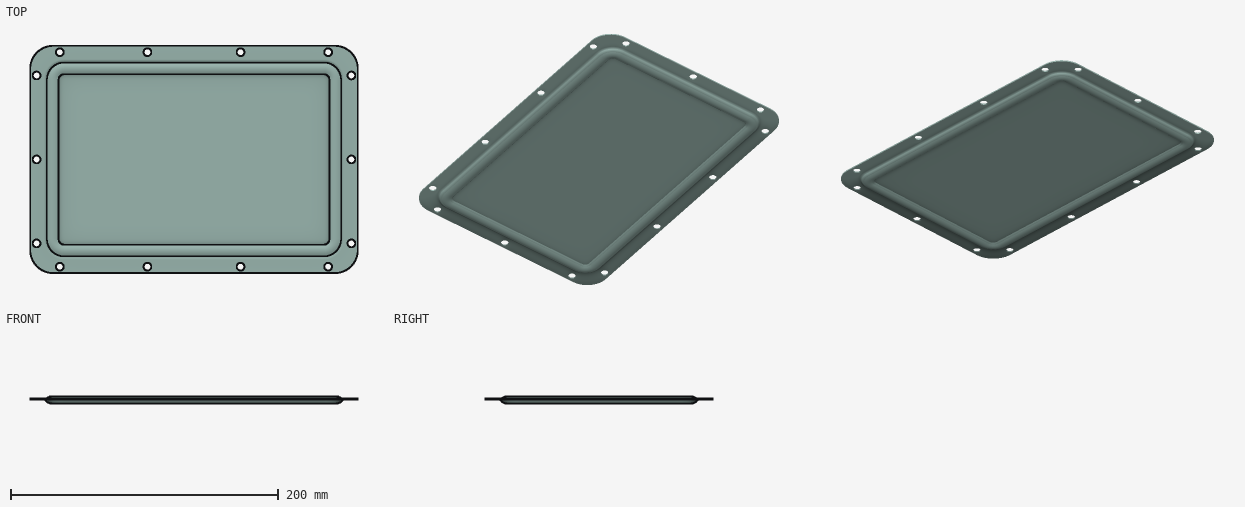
import cadquery as cq
import math

LENGTH = 245.0
WIDTH = 170.0
FLANGE_CORNER_RADIUS = 17.5
SHEET = 1.0
FLANGE_TOP = 4.2
FLANGE_BOTTOM = FLANGE_TOP - SHEET

RING_TOP = 6.0
RING_BOTTOM = SHEET
RING_CENTRE_HEIGHT = (RING_TOP + RING_BOTTOM) / 2
DOME_OUTER_INSET = 13.7
DOME_INNER_INSET = 20.3
RING_MIDDLE_INSET = (DOME_OUTER_INSET + DOME_INNER_INSET) / 2
RING_CORNER_CENTRE_INSET = 25.5
DOME_RISE = 0.85
SIDE_BULGE = 1.1

BEND_INSET = 10.3
BEND_RADIUS = 3.0
BEND_ANGLE = 60.0

PANEL_TOP = 2.7

HOLE_DIAMETER = 5.6
HOLE_INSET = 5.0
LONG_SIDE_HOLES = (-100.2, -34.8, 34.8, 100.2)
SHORT_SIDE_HOLES = (-62.7, 0.0, 62.7)


def rounded_plate(inset, corner_radius, bottom, top):
    """Plate with rounded corners, its sides inset from the outer edge of the flange."""
    return (
        cq.Workplane("XY", origin=(0, 0, bottom))
        .rect(LENGTH - 2 * inset, WIDTH - 2 * inset)
        .extrude(top - bottom)
        .edges("|Z")
        .fillet(corner_radius)
    )


def inner_plate(inset, bottom, top):
    """Plate whose corners are concentric with those of the ring."""
    return rounded_plate(inset, RING_CORNER_CENTRE_INSET - inset, bottom, top)


def section_at_left_side():
    """Sketch plane in which x is the inset from the -X edge of the flange and y is the height."""
    return cq.Workplane("XZ", origin=(-LENGTH / 2, 0, 0))


def carry_round(section):
    """Sweep a section once round the part, parallel to the ring."""
    path = inner_plate(RING_MIDDLE_INSET, 0, SHEET).faces("<Z").wires().val()
    return section.sweep(cq.Workplane(path))


def oval_section(growth=0.0):
    """Ring section with shallow domes above and below and rounded sides, grown by a wall thickness."""
    bulge = SIDE_BULGE + growth
    top = RING_TOP + growth
    bottom = RING_BOTTOM - growth
    upper = top - DOME_RISE
    lower = bottom + DOME_RISE
    return (
        section_at_left_side()
        .moveTo(DOME_OUTER_INSET, upper)
        .threePointArc((RING_MIDDLE_INSET, top), (DOME_INNER_INSET, upper))
        .threePointArc((DOME_INNER_INSET + bulge, RING_CENTRE_HEIGHT), (DOME_INNER_INSET, lower))
        .threePointArc((RING_MIDDLE_INSET, bottom), (DOME_OUTER_INSET, lower))
        .threePointArc((DOME_OUTER_INSET - bulge, RING_CENTRE_HEIGHT), (DOME_OUTER_INSET, upper))
        .close()
    )


def make_flange():
    plate = rounded_plate(0, FLANGE_CORNER_RADIUS, FLANGE_BOTTOM, FLANGE_TOP)
    return plate.cut(inner_plate(BEND_INSET, FLANGE_BOTTOM, FLANGE_TOP))


def make_bend():
    """Strip of sheet that curves from the flange down into the trough."""

    def bend_point(radius, angle):
        """Point of the bend at an angle in degrees from straight up."""
        turn = math.radians(angle)
        return BEND_INSET + radius * math.sin(turn), FLANGE_TOP - BEND_RADIUS + radius * math.cos(turn)

    lower_radius = BEND_RADIUS - SHEET
    section = (
        section_at_left_side()
        .moveTo(*bend_point(BEND_RADIUS, 0))
        .threePointArc(bend_point(BEND_RADIUS, BEND_ANGLE / 2), bend_point(BEND_RADIUS, BEND_ANGLE))
        .lineTo(*bend_point(lower_radius, BEND_ANGLE))
        .threePointArc(bend_point(lower_radius, BEND_ANGLE / 2), bend_point(lower_radius, 0))
        .close()
    )
    return carry_round(section)


def make_trough():
    """Channel one sheet thick that wraps the lower half of the ring."""
    wrap = carry_round(oval_section(SHEET))
    above_trough = rounded_plate(0, FLANGE_CORNER_RADIUS, PANEL_TOP, RING_TOP + 2 * SHEET)
    return wrap.cut(above_trough)


def make_panel():
    return inner_plate(DOME_INNER_INSET, PANEL_TOP - SHEET, PANEL_TOP)


def make_holes():
    x = LENGTH / 2 - HOLE_INSET
    y = WIDTH / 2 - HOLE_INSET
    centres = [(along, side * y) for along in LONG_SIDE_HOLES for side in (-1, 1)]
    centres += [(side * x, along) for along in SHORT_SIDE_HOLES for side in (-1, 1)]
    return cq.Workplane("XY").pushPoints(centres).circle(HOLE_DIAMETER / 2).extrude(RING_TOP)


def make_tray(ring):
    tray = make_flange().union(make_bend()).union(make_trough()).union(make_panel())
    return tray.cut(ring).cut(make_holes())


ring = carry_round(oval_section())
tray = make_tray(ring)
result = cq.Compound.makeCompound([*tray.vals(), *ring.vals()])